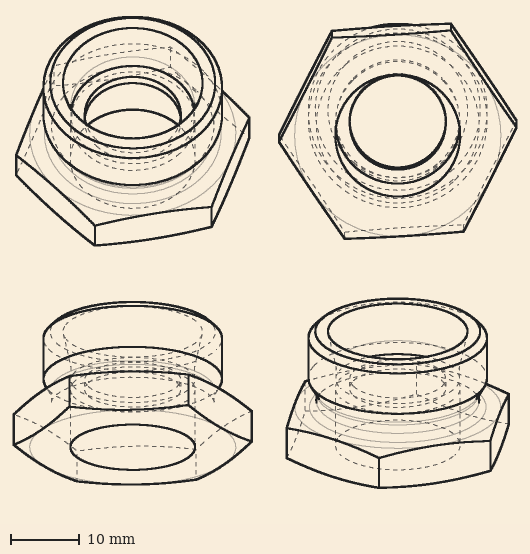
import cadquery as cq
import math

corner_width = 34.65
flat_width = corner_width * math.cos(math.radians(30))
hex_height = 6.0
hex_chamfer_angle = 15.0

total_height = 18.0
spigot_radius = 26.0 / 2
spigot_chamfer = 1.0
spigot_bottom = 10.6
neck_radius = 23.7 / 2
neck_fillet = 1.0
shoulder_angle = 30.0

mouth_radius = 20.3 / 2
socket_radius = 18.0 / 2
cone_angle = 12.0
socket_depth = 7.5
through_radius = 14.0 / 2
lower_radius = 18.15 / 2
lower_depth = 9.0


def revolve_profile(points):
    """Revolve a closed (radius, height) outline about the Z axis."""
    outline = cq.Workplane("XZ").polyline(points).close()
    return outline.revolve(360, (0, 0, 0), (0, 1, 0))


def make_flange():
    """Hexagon with its corners chamfered on both faces."""
    corner_radius = corner_width / 2
    flat_radius = flat_width / 2
    corner_drop = (corner_radius - flat_radius) * math.tan(math.radians(hex_chamfer_angle))
    prism = cq.Workplane("XY").polygon(6, corner_width).extrude(hex_height)
    prism = prism.rotate((0, 0, 0), (0, 0, 1), 30)
    envelope = revolve_profile([
        (0, 0),
        (flat_radius, 0),
        (corner_radius, corner_drop),
        (corner_radius, hex_height - corner_drop),
        (flat_radius, hex_height),
        (0, hex_height),
    ])
    return prism.intersect(envelope)


def make_spigot():
    """Chamfered cylinder on a narrower neck with rounded transitions."""
    slope = math.radians(shoulder_angle)
    neck_top = spigot_bottom - (spigot_radius - neck_radius) / math.tan(slope)
    tangent_length = neck_fillet * math.tan(slope / 2)
    arc_start_height = neck_top - tangent_length
    arc_center_radius = neck_radius + neck_fillet
    arc_middle = (
        arc_center_radius - neck_fillet * math.cos(slope / 2),
        arc_start_height + neck_fillet * math.sin(slope / 2),
    )
    arc_end = (
        arc_center_radius - neck_fillet * math.cos(slope),
        arc_start_height + neck_fillet * math.sin(slope),
    )
    foot_height = hex_height + neck_fillet
    foot_offset = neck_fillet * (1 - math.cos(math.radians(45)))
    foot_middle = (neck_radius + foot_offset, hex_height + foot_offset)
    outline = (
        cq.Workplane("XZ")
        .moveTo(0, 0)
        .lineTo(neck_radius + neck_fillet, 0)
        .lineTo(neck_radius + neck_fillet, hex_height)
        .threePointArc(foot_middle, (neck_radius, foot_height))
        .lineTo(neck_radius, arc_start_height)
        .threePointArc(arc_middle, arc_end)
        .lineTo(spigot_radius, spigot_bottom)
        .lineTo(spigot_radius, total_height - spigot_chamfer)
        .lineTo(spigot_radius - spigot_chamfer, total_height)
        .lineTo(0, total_height)
        .close()
    )
    return outline.revolve(360, (0, 0, 0), (0, 1, 0))


def make_bore():
    """Solid that fills the stepped bore over the full height."""
    cone_depth = (mouth_radius - socket_radius) / math.tan(math.radians(cone_angle))
    socket_floor = total_height - socket_depth
    return revolve_profile([
        (0, 0),
        (lower_radius, 0),
        (lower_radius, lower_depth),
        (through_radius, lower_depth),
        (through_radius, socket_floor),
        (socket_radius, socket_floor),
        (socket_radius, total_height - cone_depth),
        (mouth_radius, total_height),
        (0, total_height),
    ])


result = make_flange().union(make_spigot()).cut(make_bore())